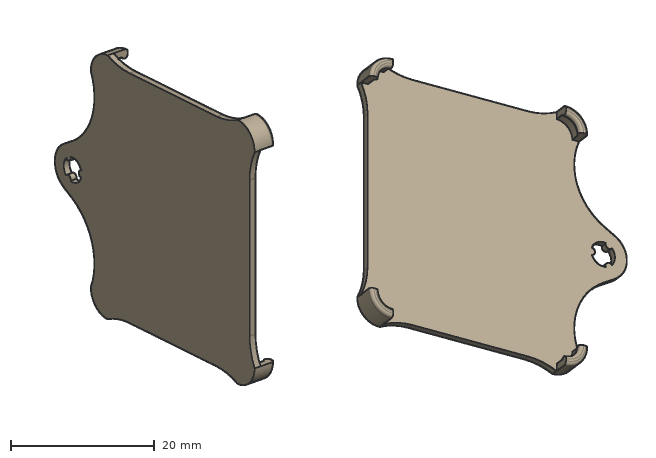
import cadquery as cq
import math

overall_length = 43.05
overall_height = 40.4
overall_depth = 3.65
plate_thickness = 1.08
body_width = 35.3

lobe_radius = 3.65
edge_recess = 1.08
hollow_length = 4.6

clip_wall = 1.1
clip_rounding = 0.5
lip_radius = 0.55
lip_overhang = 0.3

tab_radius = 3.85
tab_slope = math.radians(30)
tab_flank_length = 2.02
hole_radius = 1.9
nub_radius = 0.55
nub_count = 3

lobe_x = body_width / 2 - lobe_radius
lobe_z = overall_height / 2 - lobe_radius
side_x = body_width / 2
top_z = overall_height / 2
tab_x = body_width / 2 - overall_length + tab_radius
diagonal = lobe_radius * math.sqrt(0.5)


def extrude_back(sketch, depth):
    """Extrude an XZ sketch toward +Y."""
    return sketch.extrude(-depth)


def make_plate():
    """Upper half of the outline, mirrored about the tab's axis."""
    touch_x = tab_x - tab_radius * math.sin(tab_slope)
    touch_z = tab_radius * math.cos(tab_slope)
    flank_x = touch_x + tab_flank_length * math.cos(tab_slope)
    flank_z = touch_z + tab_flank_length * math.sin(tab_slope)
    touch_angle = math.pi / 2 + tab_slope
    middle_angle = (touch_angle + math.pi) / 2
    tab_middle = (
        tab_x + tab_radius * math.cos(middle_angle),
        tab_radius * math.sin(middle_angle),
    )
    hollow_radius = (hollow_length**2 + edge_recess**2) / (2 * edge_recess)
    recessed_x = side_x - edge_recess
    recessed_z = top_z - edge_recess
    sketch = (
        cq.Workplane("XZ")
        .moveTo(tab_x - tab_radius, 0)
        .threePointArc(tab_middle, (touch_x, touch_z))
        .lineTo(flank_x, flank_z)
        .tangentArcPoint((-side_x, lobe_z), relative=False)
        .threePointArc((-lobe_x - diagonal, lobe_z + diagonal), (-lobe_x, top_z))
        .radiusArc((-lobe_x + hollow_length, recessed_z), -hollow_radius)
        .lineTo(lobe_x - hollow_length, recessed_z)
        .tangentArcPoint((lobe_x, top_z), relative=False)
        .threePointArc((lobe_x + diagonal, lobe_z + diagonal), (side_x, lobe_z))
        .radiusArc((recessed_x, lobe_z - hollow_length), -hollow_radius)
        .lineTo(recessed_x, 0)
        .close()
    )
    half = extrude_back(sketch, plate_thickness)
    return half.union(half.mirror("XY"))


def make_clip():
    """Quarter-ring wall on the lobe at +X +Z, with a rounded lip along its inner rim."""
    inner_radius = lobe_radius - clip_wall
    lip_x = inner_radius - lip_overhang + lip_radius
    lip_y = overall_depth - lip_radius
    lip_foot_y = lip_y - math.sqrt(lip_radius**2 - (lip_x - inner_radius) ** 2)
    profile = (
        cq.Workplane("XY")
        .moveTo(inner_radius, 0)
        .lineTo(lobe_radius, 0)
        .lineTo(lobe_radius, overall_depth - clip_rounding)
        .radiusArc((lobe_radius - clip_rounding, overall_depth), -clip_rounding)
        .lineTo(lip_x, overall_depth)
        .threePointArc((lip_x - lip_radius, lip_y), (inner_radius, lip_foot_y))
        .close()
    )
    ring_quarter = profile.revolve(90, (0, 0, 0), (0, -1, 0))
    return ring_quarter.translate((lobe_x, 0, lobe_z))


def make_ring_hole():
    """Hole cutter with rounded nubs left standing inside its wall."""
    cutter = extrude_back(
        cq.Workplane("XZ").center(tab_x, 0).circle(hole_radius), plate_thickness
    )
    for index in range(nub_count):
        angle = 2 * math.pi * index / nub_count
        nub_x = tab_x + hole_radius * math.cos(angle)
        nub_z = hole_radius * math.sin(angle)
        nub = cq.Workplane("XZ").center(nub_x, nub_z).circle(nub_radius)
        cutter = cutter.cut(extrude_back(nub, plate_thickness))
    return cutter


result = make_plate()
right_clips = make_clip().union(make_clip().mirror("XY"))
result = result.union(right_clips).union(right_clips.mirror("YZ"))
result = result.cut(make_ring_hole())